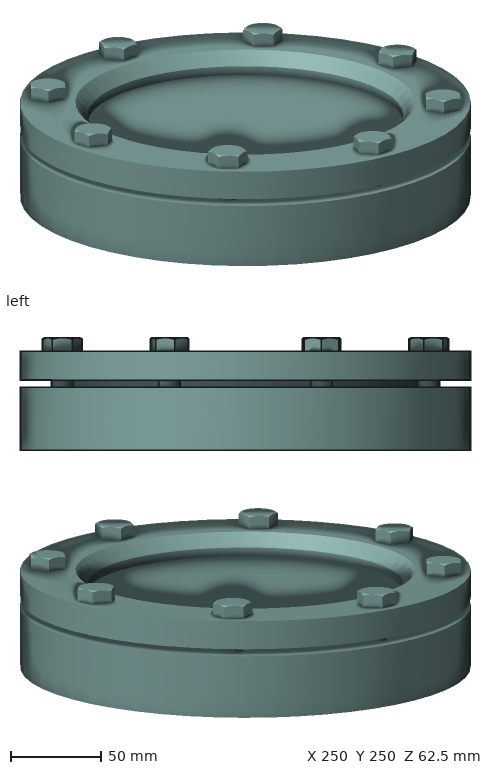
import cadquery as cq
import math

flange_diameter = 250.0
base_height = 35.0
gap_height = 4.0
cover_height = 16.0
gasket_diameter = 200.0
cover_bottom = base_height + gap_height
cover_top = cover_bottom + cover_height

window_diameter = 175.0
window_mouth_diameter = 188.5
window_depth = 12.5
cone_depth = 7.5

bolt_count = 8
bolt_step = 360 / bolt_count
bolt_circle_radius = 110.0
bolt_diameter = 12.0
head_height = 7.5
head_across_flats = 19.0
head_across_corners = head_across_flats / math.cos(math.radians(30))
head_chamfer_angle = 30.0


def disc(diameter, bottom, height):
    return cq.Workplane("XY").workplane(offset=bottom).circle(diameter / 2).extrude(height)


def window_recess():
    """Solid of revolution that cuts the stepped recess into the cover."""
    floor = cover_top - window_depth
    cone_bottom = cover_top - cone_depth
    profile = [
        (0, floor),
        (window_diameter / 2, floor),
        (window_diameter / 2, cone_bottom),
        (window_mouth_diameter / 2, cover_top),
        (0, cover_top),
    ]
    return cq.Workplane("XZ").polyline(profile).close().revolve(360, (0, 0, 0), (0, 1, 0))


def chamfer_envelope():
    """Turned blank that trims the top corners of a bolt head."""
    top_radius = head_across_flats / 2
    outer_radius = head_across_corners / 2
    chamfer_drop = (outer_radius - top_radius) * math.tan(math.radians(head_chamfer_angle))
    head_top = cover_top + head_height
    profile = [
        (0, cover_top),
        (outer_radius, cover_top),
        (outer_radius, head_top - chamfer_drop),
        (top_radius, head_top),
        (0, head_top),
    ]
    return cq.Workplane("XZ").polyline(profile).close().revolve(360, (0, 0, 0), (0, 1, 0))


def bolt():
    """Bolt on the Z axis, with two head corners on the X axis."""
    head = cq.Workplane("XY").workplane(offset=cover_top).polygon(6, head_across_corners).extrude(head_height)
    shank = disc(bolt_diameter, base_height, cover_top - base_height)
    return head.intersect(chamfer_envelope()).union(shank)


base = disc(flange_diameter, 0, base_height)
gasket = disc(gasket_diameter, base_height, gap_height)
cover = disc(flange_diameter, cover_bottom, cover_height).cut(window_recess())
result = base.union(gasket).union(cover)

first_bolt_angle = math.radians(bolt_step / 2)
first_bolt = bolt().translate(
    (
        bolt_circle_radius * math.cos(first_bolt_angle),
        bolt_circle_radius * math.sin(first_bolt_angle),
        0,
    )
)
for index in range(bolt_count):
    result = result.union(first_bolt.rotate((0, 0, 0), (0, 0, 1), index * bolt_step))